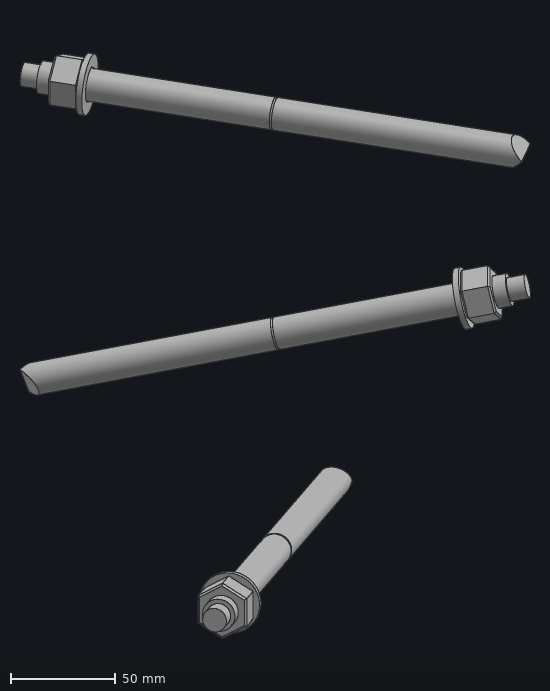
import cadquery as cq
import math

stud_length = 250.0
stud_diameter = 16.0
stub_diameter = 11.8
stub_length = 8.8
groove_position = stud_length / 2
groove_width = 1.0
groove_depth = 0.12
tip_length = 7.0

nut_start = 15.5
nut_height = 14.8
nut_across_flats = 24.0
nut_across_corners = nut_across_flats / math.cos(math.pi / 6)
nut_chamfer = 1.0

washer_start = nut_start + nut_height
washer_thickness = 3.0
washer_diameter = 30.0
washer_hole_diameter = 17.0


def cylinder_along_x(start, length, diameter):
    return cq.Workplane("YZ", origin=(start, 0, 0)).circle(diameter / 2).extrude(length)


def make_groove():
    groove_start = groove_position - groove_width / 2
    core_diameter = stud_diameter - 2 * groove_depth
    ring = cylinder_along_x(groove_start, groove_width, stud_diameter)
    return ring.cut(cylinder_along_x(groove_start, groove_width, core_diameter))


def make_chisel_envelope():
    """Prism whose two sloping faces meet in a horizontal edge parallel to Y."""
    radius = stud_diameter / 2
    return (
        cq.Workplane("XZ")
        .moveTo(0, -radius)
        .lineTo(stud_length - tip_length, -radius)
        .lineTo(stud_length, 0)
        .lineTo(stud_length - tip_length, radius)
        .lineTo(0, radius)
        .close()
        .extrude(radius, both=True)
    )


def make_stud():
    stub = cylinder_along_x(0, stub_length, stub_diameter)
    shank = cylinder_along_x(stub_length, stud_length - stub_length, stud_diameter)
    shank = shank.intersect(make_chisel_envelope())
    return stub.union(shank).cut(make_groove())


def make_nut():
    nut = (
        cq.Workplane("YZ", origin=(nut_start, 0, 0))
        .transformed(rotate=(0, 0, 90))
        .polygon(6, nut_across_corners)
        .extrude(nut_height)
    )
    nut = nut.faces("<X or >X").chamfer(nut_chamfer)
    return nut.cut(cylinder_along_x(nut_start, nut_height, stud_diameter))


def make_washer():
    disc = cylinder_along_x(washer_start, washer_thickness, washer_diameter)
    return disc.cut(cylinder_along_x(washer_start, washer_thickness, washer_hole_diameter))


stud = make_stud()
nut = make_nut()
washer = make_washer()

result = cq.Compound.makeCompound([stud.val(), nut.val(), washer.val()])